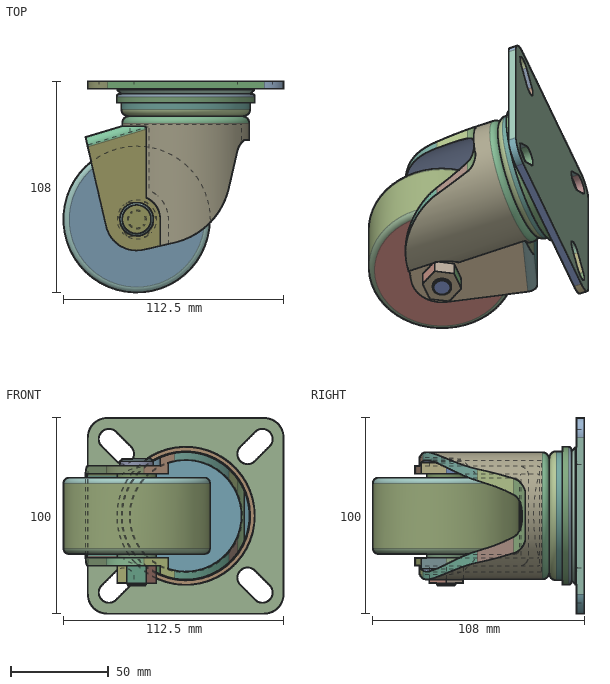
import cadquery as cq
import math

SHEET = 4.0
OVERALL_LENGTH = 112.5
OVERALL_HEIGHT = 108.0

PLATE_SIDE = 100.0
PLATE_CORNER_RADIUS = 10.0
SLOT_WIDTH = 10.4
SLOT_INNER = 31.6
SLOT_OUTER = 39.2

DISH_RADIUS = 35.1
DISH_BOTTOM = 6.5
DISH_TAPER = 2.0
RING_RADIUS = 35.3
RING_BOTTOM = 11.1
RING_ROUND = 1.6
CUP_RADIUS = 33.0
CUP_BOTTOM = 17.9
CUP_ROUND = 3.5

WHEEL_RADIUS = 37.5
WHEEL_WIDTH = 39.0
WHEEL_ROUND = 2.9
AXLE_X = PLATE_SIDE / 2 + WHEEL_RADIUS - OVERALL_LENGTH
AXLE_Y = WHEEL_RADIUS - OVERALL_HEIGHT
HUB_RADIUS = 10.0
HEAD_RADIUS = 8.5
HEAD_HEIGHT = 3.6
HEAD_CHAMFER = 1.2
NUT_ACROSS_CORNERS = 20.0
NUT_HEIGHT = 8.9
BOLT_RADIUS = 4.8
BOLT_LENGTH = 1.2
BOLT_CHAMFER = 0.6

SHELL_RADIUS = 32.5
SHELL_ROUND = 3.6
FORK_WIDTH = 51.0
LEAN = math.radians(13)
FOOT_RADIUS = 16.0
TIP_X = -51.2
TIP_Y = -28.6
WEB_TOP = -23.0
WEB_ROUND = 5.0
WEB_INNER_ROUND = WEB_ROUND - SHEET
LIP_Y = -30.2
LIP_X = 29.9
NECK_X = 26.3
NECK_Y = -36.2
NECK_ROUND = 10.0
HEEL_RADIUS = 37.1
SEAT_RADIUS = 12.0

LEG_OUTER = FORK_WIDTH / 2
LEG_INNER = LEG_OUTER - SHEET
REACH = 112.5


def mounting_plate():
    plate = (
        cq.Workplane("XZ")
        .rect(PLATE_SIDE, PLATE_SIDE)
        .extrude(SHEET)
        .edges("|Y")
        .fillet(PLATE_CORNER_RADIUS)
    )
    slot_centre = (SLOT_INNER + SLOT_OUTER) / 2
    slot_length = math.sqrt(2) * (SLOT_OUTER - SLOT_INNER) + SLOT_WIDTH
    for angle in (45, 135, 225, 315):
        slot = (
            cq.Workplane("XZ")
            .center(math.sqrt(2) * slot_centre, 0)
            .slot2D(slot_length, SLOT_WIDTH)
            .extrude(SHEET)
            .rotate((0, 0, 0), (0, 1, 0), angle)
        )
        plate = plate.cut(slot)
    return plate


def disc(radius, top, bottom):
    """Solid disc on the swivel axis between two distances below the mounting face."""
    return cq.Workplane("XZ", origin=(0, -top, 0)).circle(radius).extrude(bottom - top)


def bearing():
    dish = disc(DISH_RADIUS, SHEET, DISH_BOTTOM).faces("<Y").chamfer(DISH_TAPER)
    ring = disc(RING_RADIUS, DISH_BOTTOM, RING_BOTTOM).faces(">Y").edges().fillet(RING_ROUND)
    cup = disc(CUP_RADIUS, RING_BOTTOM, CUP_BOTTOM).faces("<Y").edges().fillet(CUP_ROUND)
    return dish.union(ring).union(cup)


def fork_outline():
    """Side shape of the fork, full width: foot round the axle, heel, and neck under the lip."""
    cos_lean = math.cos(LEAN)
    sin_lean = math.sin(LEAN)
    foot = (
        AXLE_X + FOOT_RADIUS * (sin_lean - cos_lean),
        AXLE_Y - FOOT_RADIUS * (sin_lean + cos_lean),
    )
    slope = math.tan(LEAN)
    neck_height = NECK_Y - foot[1]
    heel_run = (NECK_X - foot[0] - slope * neck_height) / (1 - slope**2)
    heel = (foot[0] + heel_run, foot[1] + slope * heel_run)
    outline = (
        cq.Workplane("XY")
        .moveTo(TIP_X, TIP_Y)
        .lineTo(*foot)
        .lineTo(*heel)
        .lineTo(NECK_X, NECK_Y)
        .radiusArc((LIP_X, LIP_Y), NECK_ROUND)
        .lineTo(REACH, LIP_Y)
        .lineTo(REACH, -CUP_BOTTOM)
        .lineTo(-SHELL_RADIUS, -CUP_BOTTOM)
        .lineTo(-SHELL_RADIUS, WEB_TOP)
        .close()
        .extrude(REACH, both=True)
    )
    for corner, radius in ((foot, FOOT_RADIUS), (heel, HEEL_RADIUS)):
        edge = cq.selectors.NearestToPointSelector((*corner, 0))
        outline = outline.edges("|Z").edges(edge).fillet(radius)
    return outline


def channel(half_width, depth, corner_round):
    """Bar with a sloping top, sunk by depth below the outer face of the web."""
    slope = (WEB_TOP - TIP_Y) / (-SHELL_RADIUS - TIP_X)
    sink = depth * math.hypot(1, slope)
    start_x = -REACH
    start_y = TIP_Y - sink + slope * (start_x - TIP_X)
    end_y = TIP_Y - sink - slope * TIP_X
    return (
        cq.Workplane("XY")
        .polyline([(start_x, start_y), (0, end_y), (0, -REACH), (start_x, -REACH)])
        .close()
        .extrude(half_width, both=True)
        .edges("(not #Y) and (not |Y) and (not |Z)")
        .fillet(corner_round)
    )


def seat_zone(radius):
    """Area round the axle, open downwards, where the fork legs are flat."""
    block = (
        cq.Workplane("XY")
        .center(AXLE_X + radius / 2, AXLE_Y - REACH / 2)
        .rect(radius, REACH)
        .extrude(REACH, both=True)
    )
    round_seat = cq.Workplane("XY").center(AXLE_X, AXLE_Y).circle(radius).extrude(REACH, both=True)
    return round_seat.union(block)


def slab(half_width):
    """Everything within half_width of the middle plane of the wheel."""
    return cq.Workplane("XY").box(2 * REACH, 2 * REACH, 2 * half_width)


def space_below(y):
    """Everything on the wheel side of the height y."""
    return cq.Workplane("XY", origin=(0, y - REACH, 0)).box(2 * REACH, 2 * REACH, 2 * REACH)


def fork():
    shell = disc(SHELL_RADIUS, CUP_BOTTOM, REACH).faces(">Y").edges().fillet(SHELL_ROUND)
    body = shell.union(channel(LEG_OUTER, 0, WEB_ROUND).intersect(space_below(WEB_TOP)))
    body = body.intersect(fork_outline())

    cap_inside = CUP_BOTTOM + SHEET
    seat_backing = seat_zone(SEAT_RADIUS + SHEET).cut(slab(LEG_INNER))
    bore = disc(SHELL_RADIUS - SHEET, cap_inside, REACH).cut(seat_backing)
    wheel_space = channel(LEG_INNER, SHEET, WEB_INNER_ROUND).intersect(space_below(-cap_inside))
    body = body.cut(bore).cut(wheel_space)

    return body.cut(seat_zone(SEAT_RADIUS).cut(slab(LEG_OUTER)))


def axle_plane(z):
    return cq.Workplane("XY", origin=(AXLE_X, AXLE_Y, z))


def wheel():
    tread = axle_plane(-WHEEL_WIDTH / 2).circle(WHEEL_RADIUS).extrude(WHEEL_WIDTH)
    tread = tread.edges().fillet(WHEEL_ROUND)
    hub = axle_plane(-LEG_INNER).circle(HUB_RADIUS).extrude(2 * LEG_INNER)
    return tread.union(hub)


def axle():
    head = axle_plane(LEG_OUTER).circle(HEAD_RADIUS).extrude(HEAD_HEIGHT)
    head = head.faces(">Z").chamfer(HEAD_CHAMFER)
    nut = axle_plane(-LEG_OUTER).polygon(6, NUT_ACROSS_CORNERS).extrude(-NUT_HEIGHT)
    end_length = NUT_HEIGHT + BOLT_LENGTH
    bolt = axle_plane(-LEG_OUTER).circle(BOLT_RADIUS).extrude(-end_length)
    bolt = bolt.faces("<Z").chamfer(BOLT_CHAMFER)
    return head.union(nut).union(bolt)


result = mounting_plate().union(bearing()).union(fork()).union(wheel()).union(axle())